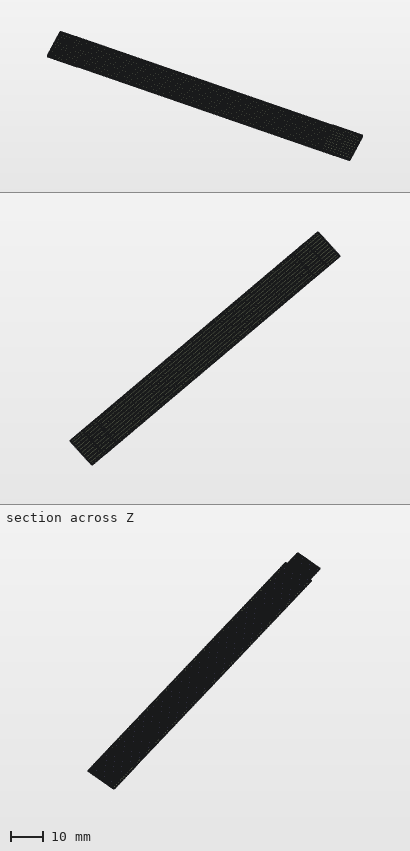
import cadquery as cq

length = 100.0
width = 10.0
total_height = 0.59

film_thickness = 0.04
stiffener_thickness = 0.23
lower_film_bottom = stiffener_thickness
wire_bottom = lower_film_bottom + film_thickness
upper_film_top = total_height - stiffener_thickness
wire_top = upper_film_top - film_thickness

wire_count = 9
wire_pitch = width / (wire_count + 1)
wire_width = 0.7

exposed_length = 5.0
stiffener_length = 10.0


def layer(x_start, x_end, z_bottom, z_top, y_size=width, y_center=0.0):
    """Flat rectangular sheet spanning the given X and Z ranges."""
    x_size = x_end - x_start
    sheet = cq.Workplane("XY").box(x_size, y_size, z_top - z_bottom, centered=(False, True, False))
    return sheet.translate((x_start, y_center, z_bottom))


lower_film = layer(0, length - exposed_length, lower_film_bottom, wire_bottom)
upper_film = layer(exposed_length, length, wire_top, upper_film_top)

lower_stiffener = layer(0, stiffener_length, 0, lower_film_bottom)
upper_stiffener = layer(length - stiffener_length, length, upper_film_top, total_height)

result = lower_film.union(upper_film).union(lower_stiffener).union(upper_stiffener)
for index in range(wire_count):
    wire_y = (index - (wire_count - 1) / 2) * wire_pitch
    wire = layer(0, length, wire_bottom, wire_top, wire_width, wire_y)
    result = result.union(wire)